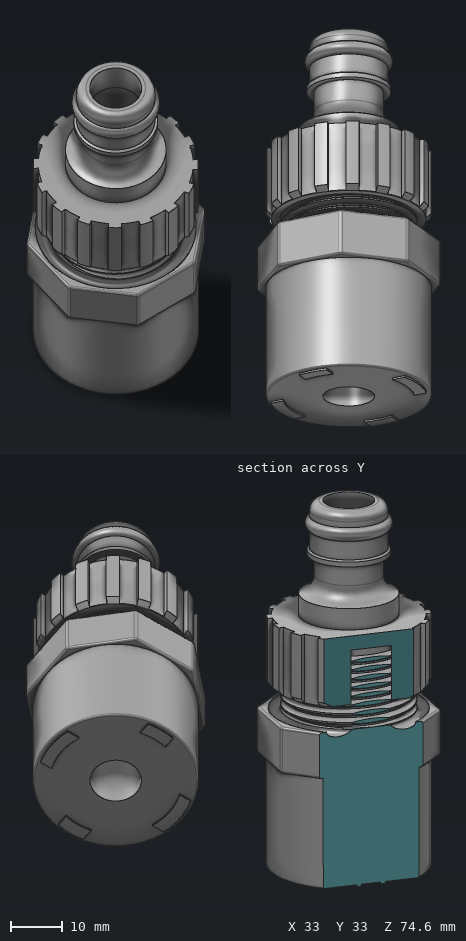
import cadquery as cq
import math

BODY_BOTTOM = 0.4
OCTAGON_BOTTOM = 22.9
OCTAGON_TOP = 32.3
NUT_BOTTOM = 37.3
NUT_TOP = 51.4
NUT_ROOF = 3.0
BODY_TOP = NUT_TOP - NUT_ROOF
COLLAR_TOP = 55.7
NECK_BOTTOM = 59.45
FLANGE_BOTTOM = 63.7
FLANGE_EDGE = 64.7
FLANGE_TOP = 65.0
O_RING_HEIGHT = 70.1
NIPPLE_TOP = 74.6

BORE_DIAMETER = 9.9
SKIRT_DIAMETER = 32.1
SKIRT_EDGE_FILLET = 0.3
OCTAGON_SIDES = 8
OCTAGON_WIDTH = 33.0
OCTAGON_CORNER_FILLET = 1.0
OCTAGON_EDGE_FILLET = 0.45
RING_GROOVE_OUTER = 31.2
RING_GROOVE_INNER = 26.55

THREAD_CREST_DIAMETER = 26.4
THREAD_ROOT_DIAMETER = 24.1
THREAD_PITCH = 1.8
THREAD_TURNS = 9
THREAD_START = 30.5
THREAD_BASE_WIDTH = 1.7
THREAD_CREST_WIDTH = 0.3
THREAD_SINK = 0.2

PAD_INNER_DIAMETER = 25.5
PAD_OUTER_DIAMETER = 30.6
PAD_WIDTH_ON_X = 9.1
PAD_WIDTH_ON_Y = 6.0

NUT_BORE = 26.55
NUT_DIAMETER = 31.9
GRIP_FLOOR_DIAMETER = 30.0
GRIP_COUNT = 16
GRIP_ANGLE = 13.1
GRIP_START_ANGLE = -3.5
NUT_CHAMFER = 1.05

COLLAR_DIAMETER = 19.5
NECK_DIAMETER = 13.5
FLANGE_DIAMETER = 16.3
HEAD_DIAMETER = 15.2
HEAD_ROUNDING = 1.9
MOUTH_DIAMETER = 10.0
MOUTH_DEPTH = 6.0

O_RING_OUTER = 17.0
O_RING_SECTION = 2.8


def cylinder(diameter, bottom, top):
    return cq.Workplane("XY").workplane(offset=bottom).circle(diameter / 2).extrude(top - bottom)


def make_octagon():
    corner_diameter = OCTAGON_WIDTH / math.cos(math.pi / OCTAGON_SIDES)
    octagon = (
        cq.Workplane("XY")
        .workplane(offset=OCTAGON_BOTTOM)
        .transformed(rotate=(0, 0, 180 / OCTAGON_SIDES))
        .polygon(OCTAGON_SIDES, corner_diameter)
        .extrude(OCTAGON_TOP - OCTAGON_BOTTOM)
        .edges("|Z")
        .fillet(OCTAGON_CORNER_FILLET)
        .faces("<Z or >Z")
        .edges()
        .fillet(OCTAGON_EDGE_FILLET)
    )
    return octagon.cut(make_ring_groove())


def make_ring_groove():
    """Torus that leaves a half-round groove around the foot of the thread."""
    middle_radius = (RING_GROOVE_OUTER + RING_GROOVE_INNER) / 4
    section_radius = (RING_GROOVE_OUTER - RING_GROOVE_INNER) / 4
    torus = cq.Solid.makeTorus(middle_radius, section_radius, cq.Vector(0, 0, OCTAGON_TOP))
    return cq.Workplane(torus)


def make_thread_ridge():
    """Right-handed helical ridge with a trapezoidal section."""
    root_radius = THREAD_ROOT_DIAMETER / 2
    half_base = THREAD_BASE_WIDTH / 2
    half_crest = THREAD_CREST_WIDTH / 2
    inner_radius = root_radius - THREAD_SINK
    crest_radius = THREAD_CREST_DIAMETER / 2
    helix = cq.Wire.makeHelix(THREAD_PITCH, THREAD_PITCH * THREAD_TURNS, root_radius)
    ridge = (
        cq.Workplane("XZ")
        .moveTo(inner_radius, -half_base)
        .lineTo(crest_radius, -half_crest)
        .lineTo(crest_radius, half_crest)
        .lineTo(inner_radius, half_base)
        .close()
        .sweep(cq.Workplane(helix), isFrenet=True)
    )
    return ridge.translate((0, 0, THREAD_START))


def make_threaded_stub():
    """Threaded core whose ridge is cut off level with the top of the octagon."""
    core = cylinder(THREAD_ROOT_DIAMETER, OCTAGON_BOTTOM, BODY_TOP)
    octagon_space = cylinder(OCTAGON_WIDTH, OCTAGON_BOTTOM, OCTAGON_TOP)
    threaded = core.union(make_thread_ridge()).cut(octagon_space)
    return threaded.cut(cylinder(BORE_DIAMETER, OCTAGON_TOP, BODY_TOP))


def make_pads():
    """Four short arcs of a ring, centred on the X and Y axes."""
    ring = cylinder(PAD_OUTER_DIAMETER, 0, BODY_BOTTOM).cut(cylinder(PAD_INNER_DIAMETER, 0, BODY_BOTTOM))
    bottom_plane = cq.Workplane("XY")
    bar_on_x = bottom_plane.rect(SKIRT_DIAMETER, PAD_WIDTH_ON_X).extrude(BODY_BOTTOM)
    bar_on_y = bottom_plane.rect(PAD_WIDTH_ON_Y, SKIRT_DIAMETER).extrude(BODY_BOTTOM)
    return ring.intersect(bar_on_x.union(bar_on_y))


def make_body():
    skirt = cylinder(SKIRT_DIAMETER, BODY_BOTTOM, OCTAGON_BOTTOM)
    skirt = skirt.faces("<Z").edges().fillet(SKIRT_EDGE_FILLET)
    base = skirt.union(make_octagon()).union(make_pads())
    base = base.cut(cylinder(BORE_DIAMETER, BODY_BOTTOM, OCTAGON_TOP))
    return base.union(make_threaded_stub())


def make_grip_groove():
    """Radial-sided groove on the +X side, as tall as the nut."""
    half_angle = math.radians(GRIP_ANGLE / 2)
    reach = NUT_DIAMETER
    side = (reach * math.cos(half_angle), reach * math.sin(half_angle))
    wedge = (
        cq.Workplane("XY")
        .workplane(offset=NUT_BOTTOM)
        .polyline([(0, 0), (side[0], -side[1]), side])
        .close()
        .extrude(NUT_TOP - NUT_BOTTOM)
    )
    return wedge.cut(cylinder(GRIP_FLOOR_DIAMETER, NUT_BOTTOM, NUT_TOP))


def make_nut():
    nut = cylinder(NUT_DIAMETER, NUT_BOTTOM, NUT_TOP)
    nut = nut.faces("<Z").edges().chamfer(NUT_CHAMFER)
    groove = make_grip_groove()
    for index in range(GRIP_COUNT):
        angle = GRIP_START_ANGLE + index * 360 / GRIP_COUNT
        nut = nut.cut(groove.rotate((0, 0, 0), (0, 0, 1), angle))
    nut = nut.cut(cylinder(NUT_BORE, NUT_BOTTOM, BODY_TOP))
    return nut.cut(cylinder(COLLAR_DIAMETER, BODY_TOP, NUT_TOP))


def make_nipple():
    collar_radius = COLLAR_DIAMETER / 2
    neck_radius = NECK_DIAMETER / 2
    flange_radius = FLANGE_DIAMETER / 2
    head_radius = HEAD_DIAMETER / 2
    bore_radius = BORE_DIAMETER / 2
    mouth_radius = MOUTH_DIAMETER / 2
    mouth_floor = NIPPLE_TOP - MOUTH_DEPTH

    flare_width = collar_radius - neck_radius
    flare_height = NECK_BOTTOM - COLLAR_TOP
    flare_radius = (flare_width ** 2 + flare_height ** 2) / (2 * flare_width)
    flare_angle = math.asin(flare_height / flare_radius) / 2
    flare_middle = (
        neck_radius + flare_radius * (1 - math.cos(flare_angle)),
        NECK_BOTTOM - flare_radius * math.sin(flare_angle),
    )

    rounding_offset = HEAD_ROUNDING * (1 - math.sqrt(0.5))
    rounding_middle = (head_radius - rounding_offset, NIPPLE_TOP - rounding_offset)

    groove_radius = O_RING_OUTER / 2 - O_RING_SECTION
    groove_bottom = O_RING_HEIGHT - O_RING_SECTION / 2
    groove_top = O_RING_HEIGHT + O_RING_SECTION / 2

    return (
        cq.Workplane("XZ")
        .moveTo(bore_radius, BODY_TOP)
        .lineTo(collar_radius, BODY_TOP)
        .lineTo(collar_radius, COLLAR_TOP)
        .threePointArc(flare_middle, (neck_radius, NECK_BOTTOM))
        .lineTo(neck_radius, FLANGE_BOTTOM)
        .lineTo(flange_radius, FLANGE_BOTTOM)
        .lineTo(flange_radius, FLANGE_EDGE)
        .lineTo(head_radius, FLANGE_TOP)
        .lineTo(head_radius, groove_bottom)
        .lineTo(groove_radius, groove_bottom)
        .lineTo(groove_radius, groove_top)
        .lineTo(head_radius, groove_top)
        .lineTo(head_radius, NIPPLE_TOP - HEAD_ROUNDING)
        .threePointArc(rounding_middle, (head_radius - HEAD_ROUNDING, NIPPLE_TOP))
        .lineTo(mouth_radius, NIPPLE_TOP)
        .lineTo(mouth_radius, mouth_floor)
        .lineTo(bore_radius, mouth_floor)
        .close()
        .revolve(360, (0, 0, 0), (0, 1, 0))
    )


def make_o_ring():
    section_radius = O_RING_SECTION / 2
    middle_radius = O_RING_OUTER / 2 - section_radius
    ring = cq.Solid.makeTorus(middle_radius, section_radius, cq.Vector(0, 0, O_RING_HEIGHT))
    return cq.Workplane(ring)


body = make_body()
nut = make_nut()
nipple = make_nipple()
o_ring = make_o_ring()

result = cq.Compound.makeCompound([part.solids().val() for part in (body, nut, nipple, o_ring)])